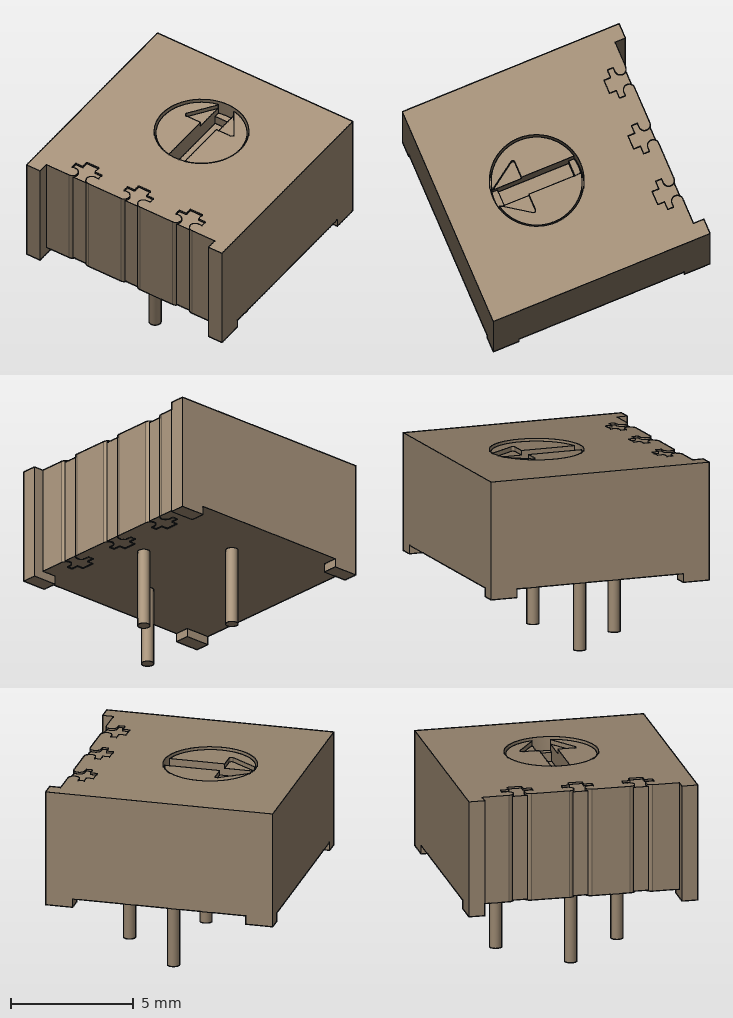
import cadquery as cq

width = 9.58
height = 4.93
pin_tip_depth = 7.9
foot_height = 0.36
foot_width = 0.66
foot_length = 1.14
front_recess = 0.46
underside = foot_height - height
front_face = front_recess - width / 2

pin_pitch = 2.54
pin_diameter = 0.51

rotor_y = 0.86
well_diameter = 3.86
well_depth = 0.96
rotor_diameter = 3.71
rotor_drop = 0.1
driver_slot_width = 0.78
driver_slot_depth = 0.575
driver_pocket_length = 3.14

arrow_tip = 2.33
arrow_base = 0.51
arrow_half_width = 1.26
arrow_depth = 0.19
arrow_corner_radius = 0.1

channel_lip_radius = 0.24
channel_neck_half = 0.23
channel_arm_half = 0.64
channel_arm_width = 0.26
channel_tab_half = 0.3
channel_tab_length = 0.3
terminal_top_gap = 0.08
terminal_bottom_gap = 0.04
terminal_setback = 0.06


def box(size_x, size_y, bottom, top, center_y=0.0):
    """Block centred on X = 0 between two heights."""
    block = cq.Workplane("XY").box(size_x, size_y, top - bottom, centered=(True, True, False))
    return block.translate((0, center_y, bottom))


def make_housing():
    """Square block with a foot under each corner and a recessed front face."""
    body = box(width, width, -height, 0)
    gap_between_feet = width - 2 * foot_width
    gap_along_side = width - 2 * foot_length
    body = body.cut(box(gap_between_feet, width, -height, underside))
    body = body.cut(box(width, gap_along_side, -height, underside))
    recess_y = front_face - front_recess / 2
    return body.cut(box(gap_between_feet, front_recess, -height, 0, recess_y))


def channel(bottom, top):
    """Cross-shaped prism whose neck flares to the front face around two rounded lips."""
    lip_x = channel_neck_half + channel_lip_radius
    lip_y = front_face + channel_lip_radius
    arm_front = lip_y + channel_lip_radius
    arm_back = arm_front + channel_arm_width
    tab_back = arm_back + channel_tab_length
    profile = (
        cq.Workplane("XY", origin=(0, 0, bottom))
        .moveTo(-lip_x, front_face)
        .threePointArc((-channel_neck_half, lip_y), (-lip_x, arm_front))
        .lineTo(-channel_arm_half, arm_front)
        .lineTo(-channel_arm_half, arm_back)
        .lineTo(-channel_tab_half, arm_back)
        .lineTo(-channel_tab_half, tab_back)
        .lineTo(channel_tab_half, tab_back)
        .lineTo(channel_tab_half, arm_back)
        .lineTo(channel_arm_half, arm_back)
        .lineTo(channel_arm_half, arm_front)
        .lineTo(lip_x, arm_front)
        .threePointArc((channel_neck_half, lip_y), (lip_x, front_face))
        .close()
    )
    return profile.extrude(top - bottom)


def make_terminal():
    """Filling of one channel, set back from the top, the underside and the front face."""
    bottom = underside + terminal_bottom_gap
    top = -terminal_top_gap
    front_strip = box(width, 2 * terminal_setback, bottom, top, front_face)
    return channel(bottom, top).cut(front_strip)


def make_rotor():
    """Disc with a sunken arrow head and a driver slot that deepens between its two end ledges."""
    disc = cq.Workplane("XY", origin=(0, 0, -well_depth)).circle(rotor_diameter / 2)
    disc = disc.extrude(well_depth - rotor_drop)
    arrow = (
        cq.Workplane("XY", origin=(0, 0, -rotor_drop - arrow_depth))
        .polyline([(-arrow_half_width, arrow_base), (arrow_half_width, arrow_base), (0, arrow_tip)])
        .close()
        .extrude(arrow_depth)
        .edges("|Z and (<X or >X)")
        .fillet(arrow_corner_radius)
    )
    slot = box(driver_slot_width, rotor_diameter, -driver_slot_depth, 0)
    pocket = box(driver_slot_width, driver_pocket_length, -well_depth, 0)
    return disc.cut(arrow).cut(slot).cut(pocket)


def make_pin():
    """Round pin from the underside down to its tip."""
    pin = cq.Workplane("XY", origin=(0, 0, -pin_tip_depth)).circle(pin_diameter / 2)
    return pin.extrude(pin_tip_depth + underside)


result = make_housing()

well = cq.Workplane("XY").circle(well_diameter / 2).extrude(-well_depth)
result = result.cut(well.translate((0, rotor_y, 0)))
result = result.union(make_rotor().translate((0, rotor_y, 0)))

for terminal_x in (-pin_pitch, 0, pin_pitch):
    result = result.cut(channel(underside, 0).translate((terminal_x, 0, 0)))
    result = result.union(make_terminal().translate((terminal_x, 0, 0)))

for pin_x, pin_y in ((-pin_pitch, 0), (0, -pin_pitch), (pin_pitch, 0)):
    result = result.union(make_pin().translate((pin_x, pin_y, 0)))